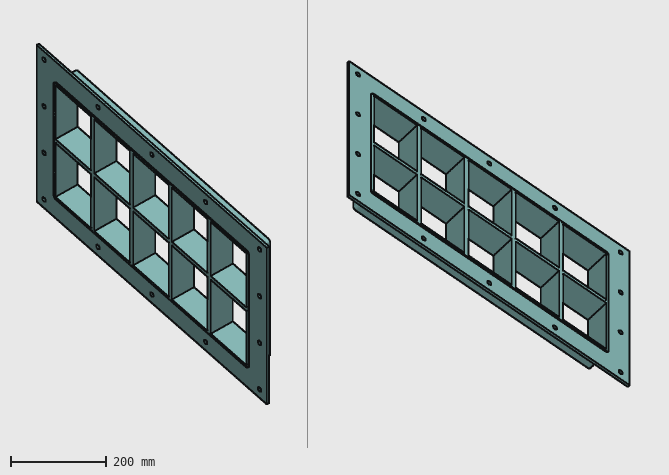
import cadquery as cq

flange_width = 774.5
flange_height = 463.0
flange_thickness = 6.0

flange_border = 60.0
frame_width = flange_width - 2 * flange_border
frame_height = flange_height - 2 * flange_border
frame_depth = 60.0
frame_corner_radius = 8.0
front_lip = 2.0

columns = 5
rows = 2
wall = 7.0
divider = 12.0
opening_width = (frame_width - 2 * wall - (columns - 1) * divider) / columns
opening_height = (frame_height - 2 * wall - (rows - 1) * divider) / rows

hole_diameter = 11.0
hole_inset = 25.0
holes_along_width = 5
holes_along_height = 4


def block(width, height, front, depth):
    """Box centred in X and Z that runs in +Y from its front face."""
    return cq.Workplane("XY").box(width, depth, height).translate((0, front + depth / 2, 0))


def mounting_hole_points():
    """Evenly spaced (x, z) positions along the four edges of the flange."""
    span_x = flange_width - 2 * hole_inset
    span_z = flange_height - 2 * hole_inset
    points = []
    for column in range(holes_along_width):
        for row in range(holes_along_height):
            on_side = column in (0, holes_along_width - 1)
            on_top_or_bottom = row in (0, holes_along_height - 1)
            if on_side or on_top_or_bottom:
                x = span_x * (column / (holes_along_width - 1) - 0.5)
                z = span_z * (row / (holes_along_height - 1) - 0.5)
                points.append((x, z))
    return points


back_plane = cq.Workplane("XZ", origin=(0, frame_depth, 0))

flange = block(flange_width, flange_height, front_lip, flange_thickness)
frame = block(frame_width, frame_height, 0, frame_depth).edges("|Y").fillet(frame_corner_radius)

openings = (
    back_plane
    .rarray(opening_width + divider, opening_height + divider, columns, rows)
    .rect(opening_width, opening_height)
    .extrude(frame_depth)
)
mounting_holes = (
    back_plane
    .pushPoints(mounting_hole_points())
    .circle(hole_diameter / 2)
    .extrude(frame_depth)
)

result = flange.union(frame).cut(openings).cut(mounting_holes)